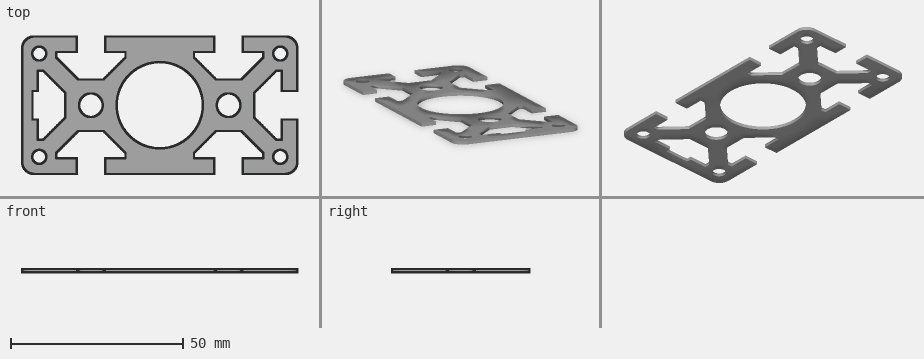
import cadquery as cq

MODULE = 40.0
LENGTH = 2 * MODULE
WIDTH = MODULE
MODULE_CENTRE_X = MODULE / 2
THICKNESS = 1.0
CORNER_RADIUS = 3.5

SLOT_MOUTH_WIDTH = 8.2
SLOT_POCKET_WIDTH = 20.0
SLOT_FLOOR_WIDTH = 7.3
SLOT_LIP_DEPTH = 4.6
SLOT_FLOOR_DEPTH = 12.5
SLOT_SHOULDER_DEPTH = SLOT_FLOOR_DEPTH - (SLOT_POCKET_WIDTH - SLOT_FLOOR_WIDTH) / 2
CLOSED_EDGE_WALL = 3.1

CENTRE_BORE_DIAMETER = 25.0
CORE_HOLE_DIAMETER = 6.8
CORNER_HOLE_DIAMETER = 4.0
CORNER_HOLE_INSET = 5.0


def make_plate():
    """Rectangular plate with rounded corners, standing on Z = 0."""
    plate = cq.Workplane("XY").box(LENGTH, WIDTH, THICKNESS, centered=(True, True, False))
    return plate.edges("|Z").fillet(CORNER_RADIUS)


def make_slot(edge_centre, angle, mouth_start=0.0):
    """T-slot cutter starting at edge_centre.

    At angle 0 it runs inward along -Y; angle turns it about Z.
    mouth_start is the depth below the edge at which the mouth begins,
    so a positive value leaves a closed wall along the edge.
    """
    half_mouth = SLOT_MOUTH_WIDTH / 2
    half_pocket = SLOT_POCKET_WIDTH / 2
    half_floor = SLOT_FLOOR_WIDTH / 2
    right_side = [
        (half_mouth, -mouth_start),
        (half_mouth, -SLOT_LIP_DEPTH),
        (half_pocket, -SLOT_LIP_DEPTH),
        (half_pocket, -SLOT_SHOULDER_DEPTH),
        (half_floor, -SLOT_FLOOR_DEPTH),
    ]
    left_side = [(-x, y) for x, y in reversed(right_side)]
    cutter = cq.Workplane("XY").polyline(right_side + left_side).close().extrude(THICKNESS)
    return cutter.rotate((0, 0, 0), (0, 0, 1), angle).translate((*edge_centre, 0))


def cut_slots(plate):
    """Two open slots on each long side, one open at +X and one closed at -X."""
    for x in (-MODULE_CENTRE_X, MODULE_CENTRE_X):
        plate = plate.cut(make_slot((x, WIDTH / 2), 0))
        plate = plate.cut(make_slot((x, -WIDTH / 2), 180))
    plate = plate.cut(make_slot((LENGTH / 2, 0), -90))
    return plate.cut(make_slot((-LENGTH / 2, 0), 90, CLOSED_EDGE_WALL))


def drill(plate, diameter, centres):
    """Through holes of one diameter at the given XY centres."""
    pins = cq.Workplane("XY").pushPoints(centres).circle(diameter / 2).extrude(THICKNESS)
    return plate.cut(pins)


def drill_holes(plate):
    """Centre bore, a core hole in each module and a hole near each corner."""
    corner_x = LENGTH / 2 - CORNER_HOLE_INSET
    corner_y = WIDTH / 2 - CORNER_HOLE_INSET
    corners = [(x, y) for x in (-corner_x, corner_x) for y in (-corner_y, corner_y)]
    plate = drill(plate, CENTRE_BORE_DIAMETER, [(0, 0)])
    plate = drill(plate, CORE_HOLE_DIAMETER, [(-MODULE_CENTRE_X, 0), (MODULE_CENTRE_X, 0)])
    return drill(plate, CORNER_HOLE_DIAMETER, corners)


result = drill_holes(cut_slots(make_plate()))